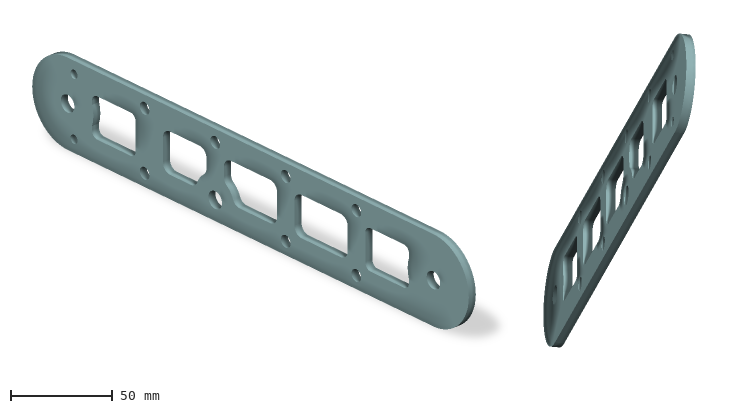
import cadquery as cq

length = 314.3
height = 51.0
thickness = 4.7
end_center_x = (length - height) / 2

end_hole_diameter = 9.7
locating_hole_diameter = 9.7
locating_hole_z = -13.8
rivet_hole_diameter = 7.0
pilot_hole_diameter = 5.0
hole_row_length = 152.5
hole_pitch = hole_row_length / 3
hole_row_z = 18.0
locating_hole_x = -hole_pitch / 2
column_xs = [locating_hole_x + i * hole_pitch for i in range(-1, 3)]
pilot_x = locating_hole_x - 2 * hole_pitch

window_height = 24.0
web_half_width = 6.3
wide_web_offset = 13.2
outer_window_inner_x = 82.7
outer_window_outer_x = 114.0
window_corner_radius = 5.0
outer_corner_radius = 3.8
end_land_radius = 18.5
locating_land_radius = 13.8


def cylinder(x, z, radius):
    """Cylinder along Y through the full plate thickness."""
    return (
        cq.Workplane("XZ").center(x, z).circle(radius)
        .extrude(thickness / 2, both=True)
    )


def window(x_left, x_right):
    """Sharp-cornered rectangular window, centred on Z = 0."""
    center_x = (x_left + x_right) / 2
    return cq.Workplane("XY").box(x_right - x_left, thickness, window_height).translate((center_x, 0, 0))


def round_corners(cutter, radius):
    return cutter.edges("|Y").fillet(radius)


def drill(plate, points, diameter):
    for x, z in points:
        plate = plate.cut(cylinder(x, z, diameter / 2))
    return plate


result = cq.Workplane("XZ").slot2D(length, height).extrude(thickness / 2, both=True)

for x_left, x_right, land_x in (
    (-outer_window_outer_x, -outer_window_inner_x, -end_center_x),
    (outer_window_inner_x, outer_window_outer_x, end_center_x),
):
    cutter = round_corners(window(x_left, x_right), outer_corner_radius)
    result = result.cut(cutter.cut(cylinder(land_x, 0, end_land_radius)))

wide_web_x, left_web_x, middle_web_x, right_web_x = column_xs
locating_land = cylinder(locating_hole_x, locating_hole_z, locating_land_radius)
for x_left, x_right in (
    (wide_web_x + wide_web_offset, left_web_x - web_half_width),
    (left_web_x + web_half_width, middle_web_x - web_half_width),
    (middle_web_x + web_half_width, right_web_x - web_half_width),
):
    cutter = window(x_left, x_right).cut(locating_land)
    result = result.cut(round_corners(cutter, window_corner_radius))

row_zs = (-hole_row_z, hole_row_z)
rivet_points = [
    (x, z) for x in column_xs for z in row_zs
    if not (x == locating_hole_x and z < 0)
]
result = drill(result, rivet_points, rivet_hole_diameter)
result = drill(result, [(pilot_x, z) for z in row_zs], pilot_hole_diameter)
result = drill(result, [(locating_hole_x, locating_hole_z)], locating_hole_diameter)
result = drill(result, [(-end_center_x, 0), (end_center_x, 0)], end_hole_diameter)